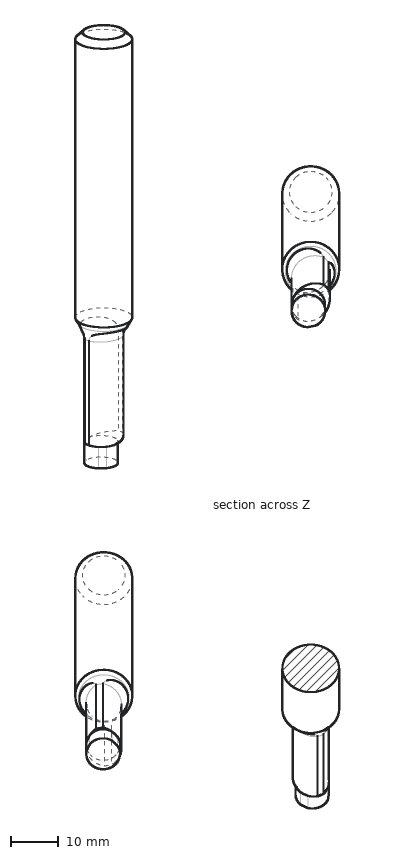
import cadquery as cq
import math

total_length = 96.1
shank_radius = 6.01
top_chamfer = 1.5
shoulder_z = 32.3

neck_radius = 4.56
neck_half_thickness = 3.7
neck_side_radius = 4.9
neck_side_offset = neck_side_radius - neck_half_thickness
flare_start_z = 28.3
flare_radius = 2.9

shoulder_half_angle = math.radians(30)
shoulder_fillet_radius = 5.8

tip_radius = 3.6
tip_center_y = -0.72
tip_height = 4.8
tip_cone_slope = 30.0
land_start_angle = 19.5
land_end_angle = 47.5


def shoulder_fillet_point(angle):
    """Radius and height on the shoulder fillet after it has turned by an angle in radians."""
    radius = neck_radius + shoulder_fillet_radius * (1 - math.cos(angle))
    return radius, flare_start_z + shoulder_fillet_radius * math.sin(angle)


def shank_body():
    """Chamfered shank, filleted shoulder cone and round envelope of the neck."""
    return (
        cq.Workplane("XZ")
        .lineTo(neck_radius, 0)
        .lineTo(neck_radius, flare_start_z)
        .threePointArc(
            shoulder_fillet_point(shoulder_half_angle / 2),
            shoulder_fillet_point(shoulder_half_angle),
        )
        .lineTo(shank_radius, shoulder_z)
        .lineTo(shank_radius, total_length - top_chamfer)
        .lineTo(shank_radius - top_chamfer, total_length)
        .lineTo(0, total_length)
        .close()
        .revolve(360, (0, 0), (0, 1))
    )


def neck_side(direction):
    """Flared cylinder whose outer wall forms the neck side facing the given X direction."""
    flare_top_z = flare_start_z + flare_radius
    flare_top_radius = neck_side_radius + flare_radius
    midpoint_angle = math.radians(45)
    midpoint = (
        flare_top_radius - flare_radius * math.cos(midpoint_angle),
        flare_start_z + flare_radius * math.sin(midpoint_angle),
    )
    clear_radius = 2 * shank_radius
    return (
        cq.Workplane("XZ")
        .lineTo(neck_side_radius, 0)
        .lineTo(neck_side_radius, flare_start_z)
        .threePointArc(midpoint, (flare_top_radius, flare_top_z))
        .lineTo(clear_radius, flare_top_z)
        .lineTo(clear_radius, total_length)
        .lineTo(0, total_length)
        .close()
        .revolve(360, (0, 0), (0, 1))
        .translate((-direction * neck_side_offset, 0, 0))
    )


def tip_clearance():
    """Space below the neck, bounded above by a cone around the tip."""
    outer_radius = 2 * shank_radius
    cone_rise = (outer_radius - tip_radius) * math.tan(math.radians(tip_cone_slope))
    return (
        cq.Workplane("XZ")
        .lineTo(outer_radius, 0)
        .lineTo(outer_radius, tip_height + cone_rise)
        .lineTo(tip_radius, tip_height)
        .lineTo(0, tip_height)
        .close()
        .revolve(360, (0, 0), (0, 1))
        .translate((0, tip_center_y, 0))
    )


def tip_point(angle):
    """Point on the tip circle at an angle in degrees, counterclockwise from +X."""
    radians = math.radians(angle)
    return tip_radius * math.cos(radians), tip_center_y + tip_radius * math.sin(radians)


def tip():
    """Round tip with a narrow flat land on each side towards -Y."""
    return (
        cq.Workplane("XY")
        .moveTo(*tip_point(-land_start_angle))
        .threePointArc(tip_point(90), tip_point(180 + land_start_angle))
        .lineTo(*tip_point(180 + land_end_angle))
        .threePointArc(tip_point(270), tip_point(-land_end_angle))
        .close()
        .extrude(tip_height)
    )


body = shank_body()
for side in (1, -1):
    body = body.intersect(neck_side(side))
result = body.cut(tip_clearance()).union(tip())